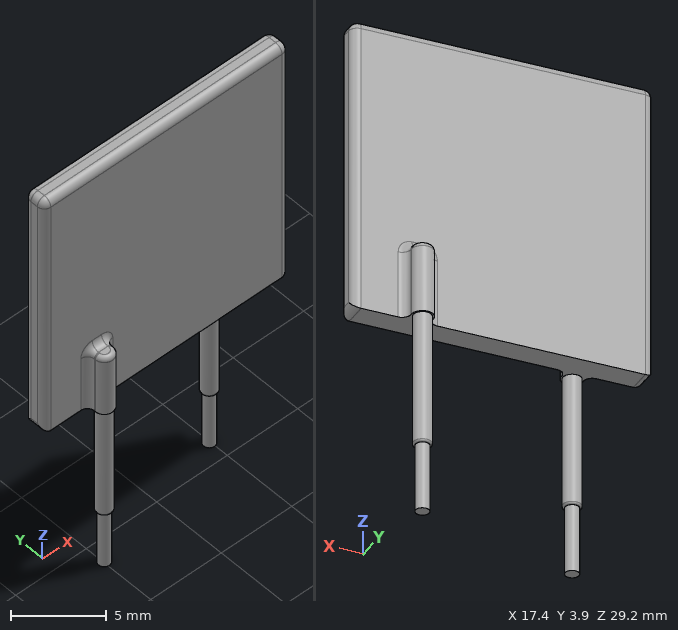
import cadquery as cq

BODY_WIDTH = 17.4
BODY_THICKNESS = 1.5
BODY_HEIGHT = 17.4
BODY_EDGE_RADIUS = 0.5

LEAD_PITCH = 9.87
COATING_DIAMETER = 1.06
COATING_LENGTH = 7.8
COATING_END_RADIUS = 0.12
WIRE_DIAMETER = 0.8
LEAD_LENGTH = 11.78

OVERALL_DEPTH = 3.9
BOSS_WALL = 0.1
BOSS_RADIUS = COATING_DIAMETER / 2 + BOSS_WALL
BOSS_HEIGHT = 4.23
BOSS_TOP_RADIUS = 0.3
BOSS_ROOT_RADIUS = 0.5
LEAD_OFFSET = OVERALL_DEPTH / 2 - BOSS_RADIUS

SELECTION_MARGIN = 0.01


def make_body():
    """Plate rounded on its upright and top edges, with rounded lower corners and a flat underside."""
    plate = (
        cq.Workplane("XY")
        .rect(BODY_WIDTH, BODY_THICKNESS)
        .extrude(BODY_HEIGHT)
        .edges("|Z or >Z")
        .fillet(BODY_EDGE_RADIUS)
    )
    corner_envelope = (
        cq.Workplane("XY")
        .box(BODY_WIDTH, BODY_THICKNESS, BODY_HEIGHT, centered=(True, True, False))
        .edges("|Y and <Z")
        .fillet(BODY_EDGE_RADIUS)
    )
    return plate.intersect(corner_envelope)


def add_boss(body, x, side):
    """Add a round-nosed ridge at x on the face facing side * Y, blended into that face."""
    ridge = (
        cq.Workplane("XY")
        .moveTo(x - BOSS_RADIUS, 0)
        .lineTo(x - BOSS_RADIUS, side * LEAD_OFFSET)
        .threePointArc((x, side * OVERALL_DEPTH / 2), (x + BOSS_RADIUS, side * LEAD_OFFSET))
        .lineTo(x + BOSS_RADIUS, 0)
        .close()
        .extrude(BOSS_HEIGHT)
    )
    outer_top_edges = ridge.faces(">Z").edges("not(<Y)" if side > 0 else "not(>Y)")
    ridge = outer_top_edges.fillet(BOSS_TOP_RADIUS)

    joined = body.union(ridge)
    face_y = side * BODY_THICKNESS / 2
    root_zone = cq.selectors.BoxSelector(
        (x - BOSS_RADIUS - SELECTION_MARGIN, face_y - SELECTION_MARGIN, -SELECTION_MARGIN),
        (x + BOSS_RADIUS + SELECTION_MARGIN, face_y + SELECTION_MARGIN, BOSS_HEIGHT + SELECTION_MARGIN),
        boundingbox=True,
    )
    return joined.edges(root_zone).fillet(BOSS_ROOT_RADIUS)


def make_lead(x, side):
    """Coated lead with a rounded shoulder, and the bare wire that continues to its tip."""
    coating = (
        cq.Workplane("XY")
        .center(x, side * LEAD_OFFSET)
        .circle(COATING_DIAMETER / 2)
        .extrude(-COATING_LENGTH)
        .faces("<Z")
        .edges()
        .fillet(COATING_END_RADIUS)
    )
    wire = (
        cq.Workplane("XY")
        .center(x, side * LEAD_OFFSET)
        .circle(WIRE_DIAMETER / 2)
        .extrude(-LEAD_LENGTH)
    )
    return coating.union(wire)


result = make_body()
for lead_side in (-1, 1):
    lead_x = lead_side * LEAD_PITCH / 2
    result = add_boss(result, lead_x, lead_side)
    result = result.union(make_lead(lead_x, lead_side))